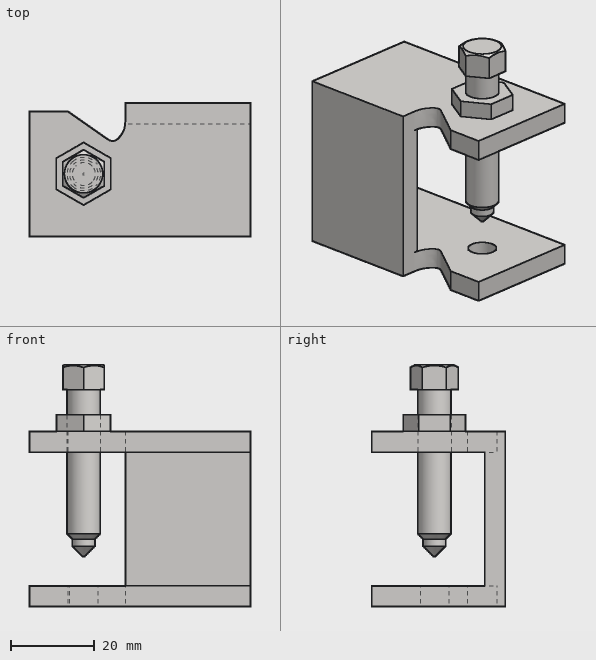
import cadquery as cq
import math

FRAME_LENGTH = 53.0
FRAME_DEPTH = 32.0
FRAME_HEIGHT = 42.0
WALL = 5.0
WEB_START_X = 23.0

NOSE_DEPTH = 30.0
NOSE_FLAT_LENGTH = 9.2
NOTCH_SLOPE_DEGREES = 35.0
NOTCH_CURVE_START_Y = 27.95
NOTCH_SIDE_POINT = (22.2, 24.65)
NOTCH_LOWEST_POINT = (20.0, 22.85)
NOTCH_SLOPE_END_X = 18.5

AXIS_X = 13.0
AXIS_Y = 15.0
GUIDE_HOLE_DIAMETER = 6.8

TOTAL_HEIGHT = 58.0
HEAD_HEIGHT = 6.0
HEAD_ACROSS_FLATS = 10.0
HEAD_TOP_DIAMETER = 9.15
HEAD_CHAMFER_DEGREES = 30.0
SHANK_DIAMETER = 8.0
SHANK_LENGTH = 40.0
NECK_DIAMETER = 5.5
NECK_LENGTH = 1.7
TIP_DIAMETER = 0.45

NUT_HEIGHT = 4.0
NUT_ACROSS_FLATS = 13.0

HEAD_BOTTOM_Z = TOTAL_HEIGHT - HEAD_HEIGHT
TIP_Z = HEAD_BOTTOM_Z - SHANK_LENGTH


def axis_cylinder(diameter, bottom_z, height):
    """Cylinder on the bolt axis."""
    return (
        cq.Workplane("XY", origin=(AXIS_X, AXIS_Y, bottom_z))
        .circle(diameter / 2)
        .extrude(height)
    )


def hex_prism(across_flats, bottom_z, height):
    """Hexagon on the bolt axis, with two corners along Y."""
    across_corners = across_flats / math.cos(math.pi / 6)
    return (
        cq.Workplane("XY", origin=(AXIS_X, AXIS_Y, bottom_z))
        .transformed(rotate=(0, 0, 90))
        .polygon(6, across_corners)
        .extrude(height)
    )


def make_plate(bottom_z):
    """Plate with a sloped notch that runs into a smooth curve beside the web."""
    slope_run = NOTCH_SLOPE_END_X - NOSE_FLAT_LENGTH
    slope_angle = math.radians(NOTCH_SLOPE_DEGREES)
    slope_end_y = NOSE_DEPTH - slope_run * math.tan(slope_angle)
    slope_end = (NOTCH_SLOPE_END_X, slope_end_y)
    straight_down = (0, -1)
    up_the_slope = (-math.cos(slope_angle), math.sin(slope_angle))
    return (
        cq.Workplane("XY", origin=(0, 0, bottom_z))
        .lineTo(FRAME_LENGTH, 0)
        .lineTo(FRAME_LENGTH, FRAME_DEPTH)
        .lineTo(WEB_START_X, FRAME_DEPTH)
        .lineTo(WEB_START_X, NOTCH_CURVE_START_Y)
        .spline(
            [NOTCH_SIDE_POINT, NOTCH_LOWEST_POINT, slope_end],
            tangents=[straight_down, up_the_slope],
            includeCurrent=True,
        )
        .lineTo(NOSE_FLAT_LENGTH, NOSE_DEPTH)
        .lineTo(0, NOSE_DEPTH)
        .close()
        .extrude(WALL)
    )


def make_frame():
    """One-piece frame with a bolt hole above and a smaller guide hole below."""
    upper_z = FRAME_HEIGHT - WALL
    web = cq.Workplane("XY").box(
        FRAME_LENGTH - WEB_START_X, WALL, FRAME_HEIGHT, centered=False
    ).translate((WEB_START_X, FRAME_DEPTH - WALL, 0))
    return (
        make_plate(0)
        .union(web)
        .union(make_plate(upper_z))
        .cut(axis_cylinder(SHANK_DIAMETER, upper_z, WALL))
        .cut(axis_cylinder(GUIDE_HOLE_DIAMETER, 0, WALL))
    )


def make_nut():
    """Plain hexagon nut resting on the upper plate."""
    nut = hex_prism(NUT_ACROSS_FLATS, FRAME_HEIGHT, NUT_HEIGHT)
    return nut.cut(axis_cylinder(SHANK_DIAMETER, FRAME_HEIGHT, NUT_HEIGHT))


def make_head():
    """Hexagon head whose top corners are trimmed by a cone."""
    cone_radius = HEAD_ACROSS_FLATS
    cone_drop = (cone_radius - HEAD_TOP_DIAMETER / 2) * math.tan(math.radians(HEAD_CHAMFER_DEGREES))
    trimming_cone = (
        cq.Workplane("XZ", origin=(AXIS_X, AXIS_Y, 0))
        .moveTo(0, HEAD_BOTTOM_Z)
        .lineTo(cone_radius, HEAD_BOTTOM_Z)
        .lineTo(cone_radius, TOTAL_HEIGHT - cone_drop)
        .lineTo(HEAD_TOP_DIAMETER / 2, TOTAL_HEIGHT)
        .lineTo(0, TOTAL_HEIGHT)
        .close()
        .revolve(360, (0, 0), (0, 1))
    )
    return hex_prism(HEAD_ACROSS_FLATS, HEAD_BOTTOM_Z, HEAD_HEIGHT).intersect(trimming_cone)


def make_bolt():
    """Headed bolt with a 45 degree shoulder, a short neck and a 45 degree point."""
    shank_radius = SHANK_DIAMETER / 2
    neck_radius = NECK_DIAMETER / 2
    tip_radius = TIP_DIAMETER / 2
    neck_bottom_z = TIP_Z + neck_radius - tip_radius
    neck_top_z = neck_bottom_z + NECK_LENGTH
    shank = (
        cq.Workplane("XZ", origin=(AXIS_X, AXIS_Y, 0))
        .moveTo(0, TIP_Z)
        .lineTo(tip_radius, TIP_Z)
        .lineTo(neck_radius, neck_bottom_z)
        .lineTo(neck_radius, neck_top_z)
        .lineTo(shank_radius, neck_top_z + shank_radius - neck_radius)
        .lineTo(shank_radius, HEAD_BOTTOM_Z)
        .lineTo(0, HEAD_BOTTOM_Z)
        .close()
        .revolve(360, (0, 0), (0, 1))
    )
    return shank.union(make_head())


frame = make_frame()
nut = make_nut()
bolt = make_bolt()

result = cq.Compound.makeCompound([frame.val(), nut.val(), bolt.val()])